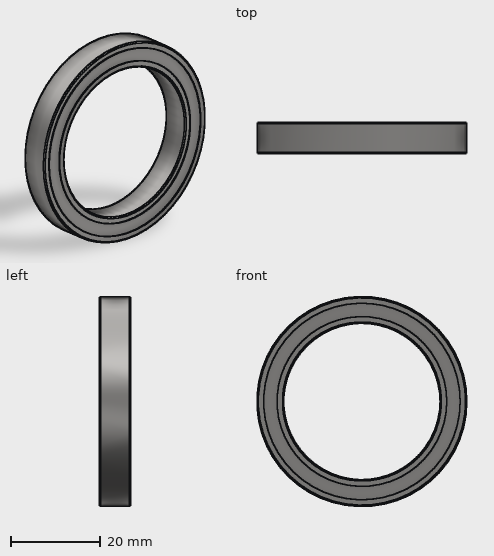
import cadquery as cq

bore_diameter = 35.0
outer_diameter = 47.0
width = 7.0
edge_chamfer = 0.3

seal_inner_diameter = 38.0
seal_outer_diameter = 44.0
seal_recess_depth = 0.2


def tube(inner_diameter, tube_diameter, y_start, length):
    """Plain ring about the Y axis, running from y_start towards +Y."""
    plane = cq.Workplane("XZ", origin=(0, y_start, 0))
    return plane.circle(tube_diameter / 2).circle(inner_diameter / 2).extrude(-length)


def ring_body():
    """Bearing envelope with all four circular edges chamfered."""
    body = tube(bore_diameter, outer_diameter, -width / 2, width)
    return body.faces("<Y or >Y").edges().chamfer(edge_chamfer)


def seal_recess(y_start):
    return tube(seal_inner_diameter, seal_outer_diameter, y_start, seal_recess_depth)


result = ring_body()
for recess_start in (-width / 2, width / 2 - seal_recess_depth):
    result = result.cut(seal_recess(recess_start))